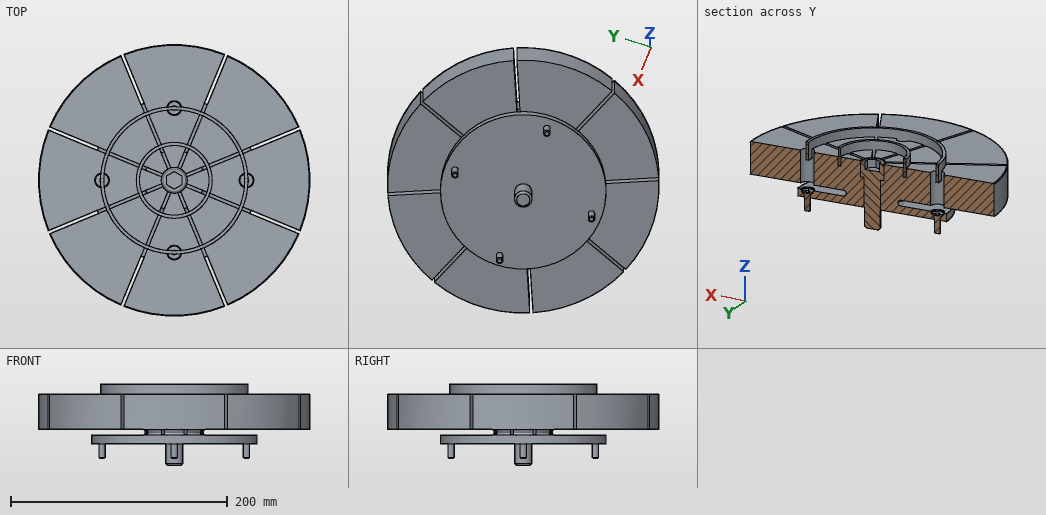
import cadquery as cq
import math

plate_radius = 76.25
plate_thickness = 8.0
neck_radius = 26.75
neck_height = 5.25
neck_fillet = 2.5
disc_radius = 125.0
disc_thickness = 32.75
disc_edge_chamfer = 0.75

slot_count = 8
slot_width = 3.0
slot_floor_above_plate = 0.5

ring_wall = 3.0
outer_ring_radius = 67.9
inner_ring_radius = 35.0
ring_rise = 9.0
ring_embedment = 9.0

bolt_diameter = 16.0
bolt_length = 50.0
bolt_head_diameter = 24.0
bolt_head_height = 16.0
bolt_head_fillet = 1.4
bolt_socket_flats = 14.0
bolt_socket_depth = 8.0
bolt_tip_chamfer = 2.0
bolt_tip_z = -20.06

screw_count = 4
screw_circle_radius = 66.5
screw_diameter = 6.0
screw_length = 20.0
screw_head_diameter = 12.0
screw_socket_flats = 4.0
screw_socket_depth = 2.0
screw_tip_chamfer = 1.0
screw_tip_z = -13.5
access_hole_diameter = 13.5

disc_bottom_z = plate_thickness + neck_height
disc_top_z = disc_bottom_z + disc_thickness
slot_floor_z = plate_thickness + slot_floor_above_plate
ring_bottom_z = disc_top_z - ring_embedment
bolt_seat_z = bolt_tip_z + bolt_length
screw_top_z = screw_tip_z + screw_length
countersink_top_z = screw_top_z + (access_hole_diameter - screw_head_diameter) / 2

screw_points = []
for index in range(screw_count):
    angle = 2 * math.pi * index / screw_count
    screw_points.append((screw_circle_radius * math.cos(angle), screw_circle_radius * math.sin(angle)))


def make_cylinder(diameter, bottom_z, height):
    return cq.Workplane("XY").workplane(offset=bottom_z).circle(diameter / 2).extrude(height)


def make_ring(radius):
    """A plain ring from the floor of its groove to its free top edge."""
    return (
        cq.Workplane("XY").workplane(offset=ring_bottom_z)
        .circle(radius).circle(radius - ring_wall)
        .extrude(ring_embedment + ring_rise)
    )


def make_cone(top_diameter, bottom_diameter, top_z):
    """A 90 degree cone, narrowing downwards from top_z."""
    height = (top_diameter - bottom_diameter) / 2
    return (
        cq.Workplane("XZ")
        .moveTo(0, top_z)
        .lineTo(top_diameter / 2, top_z)
        .lineTo(bottom_diameter / 2, top_z - height)
        .lineTo(0, top_z - height)
        .close()
        .revolve(360, (0, 0, 0), (0, 1, 0))
    )


def make_hex_socket(flats, top_z, depth):
    """A hexagonal prism with two flats facing +X and -X."""
    corners = flats / math.cos(math.pi / 6)
    return (
        cq.Workplane("XY").workplane(offset=top_z - depth)
        .transformed(rotate=(0, 0, 30))
        .polygon(6, corners).extrude(depth)
    )


def make_bolt():
    shank = make_cylinder(bolt_diameter, bolt_tip_z, bolt_length).faces("<Z").chamfer(bolt_tip_chamfer)
    head = make_cylinder(bolt_head_diameter, bolt_seat_z, bolt_head_height)
    head = head.faces(">Z").edges().fillet(bolt_head_fillet)
    socket = make_hex_socket(bolt_socket_flats, bolt_seat_z + bolt_head_height, bolt_socket_depth)
    return head.union(shank).cut(socket)


def make_mounting_screw():
    """A countersunk screw on the Z axis."""
    shank = make_cylinder(screw_diameter, screw_tip_z, screw_length).faces("<Z").chamfer(screw_tip_chamfer)
    head = make_cone(screw_head_diameter, screw_diameter, screw_top_z)
    socket = make_hex_socket(screw_socket_flats, screw_top_z, screw_socket_depth)
    return shank.union(head).cut(socket)


def make_screw_hole():
    """A through hole with its countersink and the access hole above it, on the Z axis."""
    shank_hole = make_cylinder(screw_diameter, 0, screw_top_z)
    countersink = make_cone(access_hole_diameter, screw_diameter, countersink_top_z)
    access_hole = make_cylinder(access_hole_diameter, countersink_top_z, disc_top_z - countersink_top_z)
    return shank_hole.union(countersink).union(access_hole)


def make_turned_blank():
    """The revolved body, its neck blending into the plate and the disc with quarter-round fillets."""
    fillet_edge_radius = neck_radius + neck_fillet
    fillet_middle_radius = fillet_edge_radius - neck_fillet * math.cos(math.pi / 4)
    fillet_middle_rise = neck_fillet * (1 - math.cos(math.pi / 4))
    return (
        cq.Workplane("XZ")
        .moveTo(0, 0)
        .lineTo(plate_radius, 0)
        .lineTo(plate_radius, plate_thickness)
        .lineTo(fillet_edge_radius, plate_thickness)
        .threePointArc(
            (fillet_middle_radius, plate_thickness + fillet_middle_rise),
            (neck_radius, plate_thickness + neck_fillet),
        )
        .lineTo(neck_radius, disc_bottom_z - neck_fillet)
        .threePointArc(
            (fillet_middle_radius, disc_bottom_z - fillet_middle_rise),
            (fillet_edge_radius, disc_bottom_z),
        )
        .lineTo(disc_radius, disc_bottom_z)
        .lineTo(disc_radius, disc_top_z - disc_edge_chamfer)
        .lineTo(disc_radius - disc_edge_chamfer, disc_top_z)
        .lineTo(0, disc_top_z)
        .close()
        .revolve(360, (0, 0, 0), (0, 1, 0))
    )


def make_slots():
    """Full-diameter bars, each cutting two opposite slots halfway between the axes of the segments."""
    pitch = 360 / slot_count
    bar = (
        cq.Workplane("XY").workplane(offset=slot_floor_z)
        .rect(2 * disc_radius + slot_width, slot_width)
        .extrude(disc_top_z - slot_floor_z)
    )
    slots = cq.Workplane("XY")
    for index in range(slot_count // 2):
        slots = slots.add(bar.rotate((0, 0, 0), (0, 0, 1), (index + 0.5) * pitch))
    return slots.combine()


def make_chuck_body():
    body = make_turned_blank().cut(make_slots())

    body = body.cut(make_cylinder(bolt_diameter, 0, bolt_seat_z))
    body = body.cut(make_cylinder(bolt_head_diameter, bolt_seat_z, disc_top_z - bolt_seat_z))

    for x, y in screw_points:
        body = body.cut(make_screw_hole().translate((x, y, 0)))

    for radius in (outer_ring_radius, inner_ring_radius):
        body = body.cut(make_ring(radius))
    return body


chuck_body = make_chuck_body()
outer_ring = make_ring(outer_ring_radius)
inner_ring = make_ring(inner_ring_radius)

bolt = make_bolt()
mounting_screws = []
for x, y in screw_points:
    mounting_screws.append(make_mounting_screw().translate((x, y, 0)).val())

result = cq.Compound.makeCompound(
    [chuck_body.val(), outer_ring.val(), inner_ring.val(), bolt.val(), *mounting_screws]
)